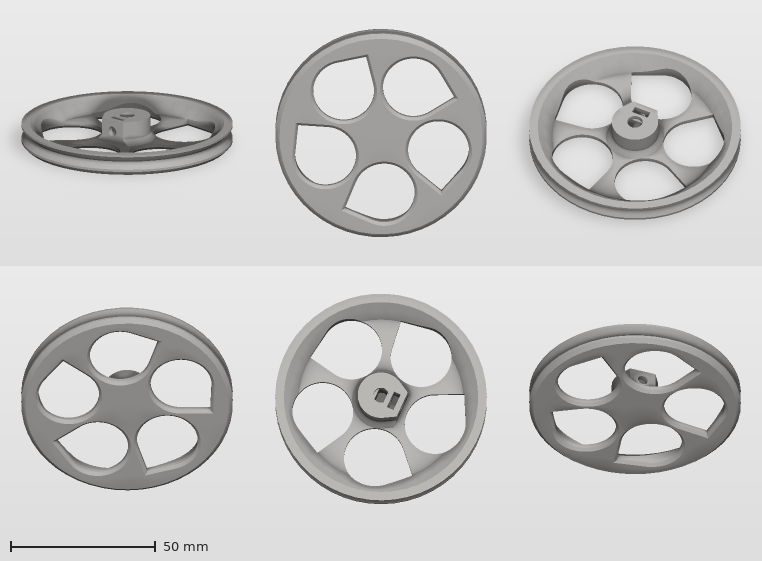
import cadquery as cq
import math

rim_radius = 36.5
rim_height = 7.5
land_height = 0.7
groove_depth = 2.25
bottom_chamfer = 1.45
lip_width = 3.0

web_thickness = 2.5
window_count = 5
window_radius = 10.5
window_distance = 20.5
first_window_angle = -90.0
tip_distance = 14.6
tip_turn = 71.0
window_chamfer = 1.0

hub_radius = 8.0
hub_top = 10.5
foot_size = 2.0
flank_angle = 30.0

bore_diameter = 5.25
bore_floor = 2.5
flats_width = 3.35
flats_top = 9.0

screw_diameter = 3.5
screw_height = 6.5
nut_width = 6.0
nut_slot_depth = 2.5
nut_slot_y = -4.8


def make_rim_and_web():
    """Revolve the V-grooved rim, its sloping inner wall and the flat web."""
    groove_top = rim_height - land_height
    groove_middle = groove_top - groove_depth
    groove_bottom = groove_middle - groove_depth
    lip_radius = rim_radius - lip_width
    floor_radius = lip_radius - (rim_height - web_thickness)
    profile = [
        (0, 0),
        (rim_radius - bottom_chamfer, 0),
        (rim_radius, bottom_chamfer),
        (rim_radius, groove_bottom),
        (rim_radius - groove_depth, groove_middle),
        (rim_radius, groove_top),
        (rim_radius, rim_height),
        (lip_radius, rim_height),
        (floor_radius, web_thickness),
        (0, web_thickness),
    ]
    return cq.Workplane("XZ").polyline(profile).close().revolve(360, (0, 0), (0, 1))


def teardrop(radius):
    """Circle with two tangents meeting at a tip on +X; the tip scales with the circle."""
    tip = tip_distance * radius / window_radius
    tangent_angle = math.acos(radius / tip)
    tangent_x = radius * math.cos(tangent_angle)
    tangent_y = radius * math.sin(tangent_angle)
    return (
        cq.Workplane("XY")
        .moveTo(tangent_x, tangent_y)
        .threePointArc((-radius, 0), (tangent_x, -tangent_y))
        .lineTo(tip, 0)
        .close()
    )


def make_window(angle):
    """Window cutter whose bottom edge flares out as a 45 degree chamfer."""
    opening = teardrop(window_radius).extrude(rim_height)
    flare = teardrop(window_radius + window_chamfer).extrude(window_chamfer, taper=45)
    return (
        opening.union(flare)
        .rotate((0, 0, 0), (0, 0, 1), tip_turn)
        .translate((window_distance, 0, 0))
        .rotate((0, 0, 0), (0, 0, 1), angle)
    )


def hub_outline(plane, radius):
    """Round outline with two tangent flanks running down to the flat's level."""
    flank = math.radians(flank_angle)
    tangent_x = radius * math.cos(flank)
    tangent_y = -radius * math.sin(flank)
    flat_half_width = radius * (1 - math.sin(flank)) / math.cos(flank)
    return (
        plane.moveTo(-flat_half_width, -radius)
        .lineTo(flat_half_width, -radius)
        .lineTo(tangent_x, tangent_y)
        .threePointArc((0, radius), (-tangent_x, tangent_y))
        .close()
    )


def make_hub():
    """Hub post on a 45 degree foot, both cut off at the front flat."""
    post = hub_outline(cq.Workplane("XY"), hub_radius).extrude(hub_top)
    foot_base = cq.Workplane("XY").workplane(offset=web_thickness)
    foot = hub_outline(foot_base, hub_radius + foot_size).extrude(foot_size, taper=45)
    beyond_flat = (
        cq.Workplane("XY")
        .box(4 * hub_radius, hub_radius, hub_top, centered=(True, False, False))
        .translate((0, -2 * hub_radius, 0))
    )
    return post.union(foot.cut(beyond_flat))


def make_bore():
    """Blind shaft bore: fully round at the mouth, double-D below."""
    bore = cq.Workplane("XY").workplane(offset=bore_floor).circle(bore_diameter / 2).extrude(hub_top)
    flats = cq.Workplane("XY").box(bore_diameter, flats_width, 2 * hub_top)
    mouth = cq.Workplane("XY").workplane(offset=flats_top).circle(bore_diameter / 2).extrude(hub_top)
    return bore.intersect(flats).union(mouth)


def make_screw_hole():
    """Cross hole from the hub flat into the shaft bore."""
    return (
        cq.Workplane("XZ")
        .center(0, screw_height)
        .circle(screw_diameter / 2)
        .extrude(hub_radius)
    )


def make_nut_slot():
    """Slot open at the top, ending in the lower half of a point-down hexagon."""
    half_width = nut_width / 2
    corner_drop = half_width * math.tan(math.radians(30))
    point_drop = 2 * corner_drop
    return (
        cq.Workplane("XZ", origin=(0, nut_slot_y, 0))
        .moveTo(-half_width, hub_top)
        .lineTo(-half_width, screw_height - corner_drop)
        .lineTo(0, screw_height - point_drop)
        .lineTo(half_width, screw_height - corner_drop)
        .lineTo(half_width, hub_top)
        .close()
        .extrude(nut_slot_depth / 2, both=True)
    )


pulley = make_rim_and_web()
for index in range(window_count):
    pulley = pulley.cut(make_window(first_window_angle + index * 360 / window_count))

pulley = pulley.union(make_hub())
result = pulley.cut(make_bore()).cut(make_screw_hole()).cut(make_nut_slot())